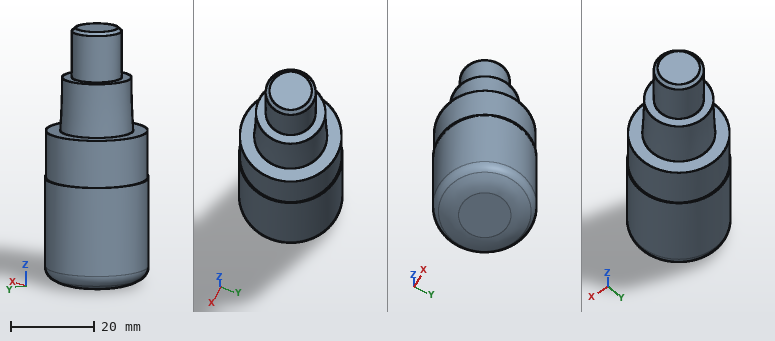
import cadquery as cq
import math

total_height = 62.75
pin_length = 12.2
collar_height = 13.05
neck_height = 11.55
housing_top = total_height - pin_length
neck_top = housing_top - collar_height
barrel_top = neck_top - neck_height
barrel_bottom = 4.25

barrel_radius = 12.5
neck_radius = 12.25
collar_base_radius = 8.8
collar_waist_radius = 8.5
collar_top_radius = 8.35
pin_radius = 6.0
pin_chamfer_width = 0.95
pin_chamfer_height = 0.8

corner_radius = 3.3
base_arc_radius = 8.15

corner_centre_x = barrel_radius - corner_radius
centre_distance = base_arc_radius - corner_radius
centre_rise = base_arc_radius - barrel_bottom
centre_offset = math.sqrt(centre_distance**2 - centre_rise**2)
flat_radius = corner_centre_x - centre_offset
joint_radius = flat_radius + base_arc_radius * centre_offset / centre_distance
joint_height = base_arc_radius - base_arc_radius * centre_rise / centre_distance


def make_housing():
    """Turned housing: barrel with a rounded base, slightly slimmer neck and flared collar."""
    collar_middle = neck_top + collar_height / 2
    profile = (
        cq.Workplane("XZ")
        .lineTo(0, housing_top)
        .lineTo(collar_top_radius, housing_top)
        .threePointArc((collar_waist_radius, collar_middle), (collar_base_radius, neck_top))
        .lineTo(neck_radius, neck_top)
        .lineTo(neck_radius, barrel_top)
        .lineTo(barrel_radius, barrel_top)
        .lineTo(barrel_radius, barrel_bottom)
        .tangentArcPoint((joint_radius, joint_height), relative=False)
        .tangentArcPoint((flat_radius, 0), relative=False)
        .close()
    )
    return profile.revolve(360, (0, 0, 0), (0, 1, 0))


def make_pin():
    """Cylindrical pin standing on the collar, chamfered at its free end."""
    pin = cq.Workplane("XY").workplane(offset=housing_top).circle(pin_radius).extrude(pin_length)
    return pin.faces(">Z").edges().chamfer(pin_chamfer_height, pin_chamfer_width)


housing = make_housing()
pin = make_pin()

result = cq.Compound.makeCompound([housing.val(), pin.val()])